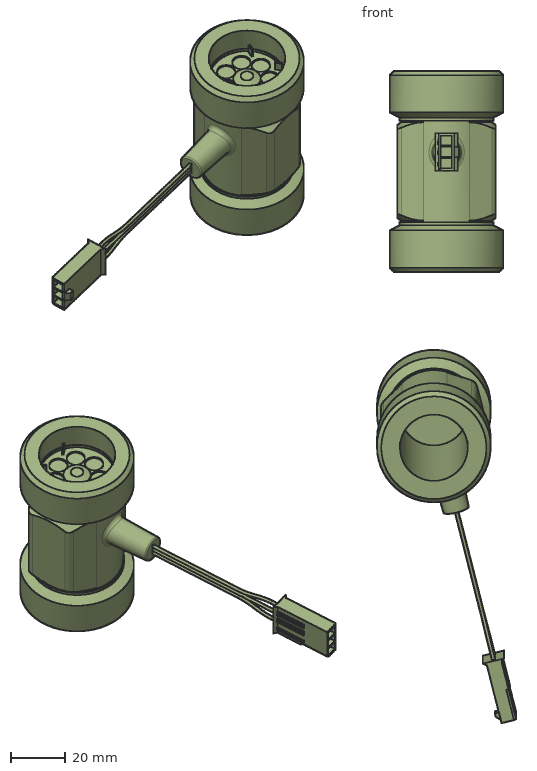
import cadquery as cq
import math

HOUSING_HEIGHT = 74.0
COLLAR_DIAMETER = 41.9
COLLAR_LENGTH = 15.3
COLLAR_CHAMFER = 1.6
NECK_CONE_LENGTH = 1.9
NECK_RADIUS = 17.3
BARREL_RADIUS = 17.0
BARREL_LENGTH = 37.1
FLAT_DISTANCE = 18.2
FLANK_ANGLE = 30.0
FLAT_CORNER_RADIUS = 3.1
FLAT_TAPER_START_RADIUS = 16.3
FLAT_TAPER_SLOPE = 0.8
BORE_DIAMETER = 28.0
SEAT_DIAMETER = 27.8
SHOULDER_DEPTH = 9.6
LOWER_BORE_DIAMETER = 25.0

CABLE_Z = 7.2
BOOT_END_Y = -34.3
BOOT_BASE_Y = -14.9
BOOT_END_DIAMETER = 9.6
BOOT_BASE_DIAMETER = 11.0
BOOT_FILLET = 1.8
BOOT_END_FILLET = 0.5

WIRE_DIAMETER = 1.3
WIRE_PITCH = 1.8
WIRE_EMBED = 1.4
BEND_START_Y = -72.8
BEND_END_Y = -87.7

CONNECTOR_END_Y = COLLAR_DIAMETER / 2 - 135.5
CONNECTOR_LENGTH = 23.5
CONNECTOR_WIDTH = 5.5
CONNECTOR_HEIGHT = 13.8
FLANGE_WIDTH = 8.1
FLANGE_THICKNESS = 1.1
CAVITY_PITCH = 4.2
CAVITY_WIDTH = 4.0
CAVITY_HEIGHT = 3.7
CAVITY_DEPTH = 10.8
KEY_CHAMFER = 0.8
KEY_CHAMFER_LENGTH = 11.8
RIB_LENGTH = 11.9
RIB_HEIGHT = 0.4
RIB_STEP_HEIGHT = 0.2
LATCH_HEIGHT = 3.8
LATCH_REACH = 1.8
LATCH_LENGTH = 3.1
LATCH_FLAT = 1.4

INSERT_DEPTH = 10.8
INSERT_THICKNESS = 2.7
HOLE_COUNT = 7
HOLE_DIAMETER = 6.8
HOLE_DEPTH = 0.7
HOLE_CIRCLE_RADIUS = 8.4
HUB_BASE_RADIUS = 5.0
HUB_TOP_RADIUS = 2.3
HUB_HEIGHT = 1.4
TAB_X = 6.4
TAB_Y = 10.7
TAB_LENGTH = 2.6
TAB_THICKNESS = 0.7
TAB_HEIGHT = 3.5
TAB_ANGLE = 26.0

HALF_HEIGHT = HOUSING_HEIGHT / 2
HALF_BARREL = BARREL_LENGTH / 2
INSERT_TOP_Z = HALF_HEIGHT - INSERT_DEPTH
INSERT_BOTTOM_Z = INSERT_TOP_Z - INSERT_THICKNESS
CONNECTOR_BACK_Y = CONNECTOR_END_Y + CONNECTOR_LENGTH
WIRE_OFFSETS = (-1, 0, 1)


def make_cylinder(radius, bottom, height):
    return cq.Workplane("XY").workplane(offset=bottom).circle(radius).extrude(height)


def make_collars_and_neck():
    """Turned profile of both collars, with the neck between them."""
    radius = COLLAR_DIAMETER / 2
    cone_start = HALF_HEIGHT - COLLAR_LENGTH
    cone_end = cone_start - NECK_CONE_LENGTH
    upper = [
        (BARREL_RADIUS, HALF_BARREL),
        (NECK_RADIUS, HALF_BARREL),
        (NECK_RADIUS, cone_end),
        (radius, cone_start),
        (radius, HALF_HEIGHT - COLLAR_CHAMFER),
        (radius - COLLAR_CHAMFER, HALF_HEIGHT),
        (0, HALF_HEIGHT),
    ]
    lower = [(r, -z) for r, z in reversed(upper)]
    return cq.Workplane("XZ").polyline(lower + upper).close().revolve(360, (0, 0, 0), (0, 1, 0))


def make_side_flats():
    """Prism with two side flats whose flanks run tangent to the barrel, ends turned to a taper."""
    flank = math.radians(FLANK_ANGLE)
    tangent_x = BARREL_RADIUS * math.sin(flank)
    tangent_y = BARREL_RADIUS * math.cos(flank)
    corner_y = (BARREL_RADIUS - FLAT_DISTANCE * math.sin(flank)) / math.cos(flank)
    quarter = [(tangent_x, tangent_y), (FLAT_DISTANCE, corner_y)]
    right = quarter + [(x, -y) for x, y in reversed(quarter)]
    left = [(-x, -y) for x, y in right]
    prism = (
        cq.Workplane("XY")
        .workplane(offset=-HALF_BARREL)
        .polyline(right + left)
        .close()
        .extrude(BARREL_LENGTH)
    )
    corners = cq.selectors.BoxSelector(
        (-FLAT_DISTANCE - 1.4, -corner_y - 1.4, -1.4), (FLAT_DISTANCE + 1.4, corner_y + 1.4, 1.4)
    )
    prism = prism.edges("|Z").edges(corners).fillet(FLAT_CORNER_RADIUS)
    apex_radius = FLAT_TAPER_START_RADIUS + HALF_BARREL / FLAT_TAPER_SLOPE
    turned = (
        cq.Workplane("XZ")
        .polyline([
            (0, -HALF_BARREL),
            (FLAT_TAPER_START_RADIUS, -HALF_BARREL),
            (apex_radius, 0),
            (FLAT_TAPER_START_RADIUS, HALF_BARREL),
            (0, HALF_BARREL),
        ])
        .close()
        .revolve(360, (0, 0, 0), (0, 1, 0))
    )
    return prism.intersect(turned)


def make_boot():
    """Tapered cable boot pointing along -Y."""
    return (
        cq.Workplane("XZ", origin=(0, BOOT_BASE_Y, CABLE_Z))
        .circle(BOOT_BASE_DIAMETER / 2)
        .workplane(offset=BOOT_BASE_Y - BOOT_END_Y)
        .circle(BOOT_END_DIAMETER / 2)
        .loft()
        .faces("<Y")
        .edges()
        .fillet(BOOT_END_FILLET)
    )


def make_wire(offset):
    """One wire from the boot to the connector, spreading from the wire pitch to the cavity pitch."""
    start_z = CABLE_Z + offset * WIRE_PITCH
    end_z = CABLE_Z + offset * CAVITY_PITCH
    start_y = BOOT_END_Y + WIRE_EMBED
    end_y = CONNECTOR_BACK_Y - WIRE_EMBED
    path = cq.Workplane("YZ").moveTo(start_y, start_z)
    if offset == 0:
        path = path.lineTo(end_y, end_z)
    else:
        path = (
            path.lineTo(BEND_START_Y, start_z)
            .spline([(BEND_END_Y, end_z)], tangents=[(-1, 0), (-1, 0)], includeCurrent=True)
            .lineTo(end_y, end_z)
        )
    profile = cq.Workplane("XZ", origin=(0, start_y, start_z)).circle(WIRE_DIAMETER / 2)
    return profile.sweep(path)


def make_connector():
    """Three-way plug with a wire-side flange, grip ribs, a latch and open cavities at the -Y end."""
    half_width = CONNECTOR_WIDTH / 2
    half_flange = FLANGE_WIDTH / 2
    flange_front_y = CONNECTOR_BACK_Y - FLANGE_THICKNESS
    bottom_z = CABLE_Z - CONNECTOR_HEIGHT / 2

    body = cq.Workplane("XY").box(
        CONNECTOR_WIDTH, CONNECTOR_LENGTH, CONNECTOR_HEIGHT
    ).translate((0, CONNECTOR_END_Y + CONNECTOR_LENGTH / 2, CABLE_Z))
    flange = (
        cq.Workplane("XY")
        .workplane(offset=bottom_z)
        .polyline([
            (-half_flange, CONNECTOR_BACK_Y),
            (half_flange, CONNECTOR_BACK_Y),
            (half_width, flange_front_y),
            (-half_width, flange_front_y),
        ])
        .close()
        .extrude(CONNECTOR_HEIGHT)
    )
    latch = (
        cq.Workplane("XY")
        .workplane(offset=CABLE_Z - LATCH_HEIGHT / 2)
        .polyline([
            (half_width, CONNECTOR_END_Y),
            (half_width + LATCH_REACH, CONNECTOR_END_Y + LATCH_LENGTH - LATCH_FLAT),
            (half_width + LATCH_REACH, CONNECTOR_END_Y + LATCH_LENGTH),
            (half_width, CONNECTOR_END_Y + LATCH_LENGTH),
        ])
        .close()
        .extrude(LATCH_HEIGHT)
    )
    connector = body.union(flange).union(latch)

    strips = (
        (3.7, 4.6, RIB_STEP_HEIGHT),
        (2.8, 3.7, RIB_HEIGHT),
        (0.0, 1.0, RIB_STEP_HEIGHT),
        (-0.8, 0.0, RIB_HEIGHT),
        (-5.0, -3.9, RIB_HEIGHT),
    )
    for low, high, height in strips:
        strip = cq.Workplane("XY").box(height, RIB_LENGTH, high - low, centered=False)
        connector = connector.union(
            strip.translate((-half_width - height, flange_front_y - RIB_LENGTH, CABLE_Z + low))
        )

    key = (
        cq.Workplane("XZ", origin=(-half_width, CONNECTOR_END_Y + KEY_CHAMFER_LENGTH, bottom_z))
        .polyline([(0, 0), (KEY_CHAMFER, 0), (0, KEY_CHAMFER)])
        .close()
        .extrude(KEY_CHAMFER_LENGTH)
    )
    connector = connector.cut(key)

    for offset in WIRE_OFFSETS:
        cavity = cq.Workplane("XY").box(CAVITY_WIDTH, CAVITY_DEPTH, CAVITY_HEIGHT)
        connector = connector.cut(
            cavity.translate((0, CONNECTOR_END_Y + CAVITY_DEPTH / 2, CABLE_Z + offset * CAVITY_PITCH))
        )
    return connector


def make_housing():
    housing = make_collars_and_neck().union(make_side_flats()).union(make_boot())
    boot_root = cq.selectors.BoxSelector(
        (-BOOT_BASE_DIAMETER, BOOT_BASE_Y - 2.7, CABLE_Z - BOOT_BASE_DIAMETER),
        (BOOT_BASE_DIAMETER, BOOT_BASE_Y + 1.4, CABLE_Z + BOOT_BASE_DIAMETER),
    )
    housing = housing.edges(boot_root).edges("not(%LINE or %CIRCLE)").fillet(BOOT_FILLET)
    seat_top = HALF_HEIGHT - SHOULDER_DEPTH
    housing = housing.cut(make_cylinder(BORE_DIAMETER / 2, seat_top, SHOULDER_DEPTH))
    housing = housing.cut(
        make_cylinder(SEAT_DIAMETER / 2, INSERT_BOTTOM_Z, seat_top - INSERT_BOTTOM_Z)
    )
    housing = housing.cut(
        make_cylinder(LOWER_BORE_DIAMETER / 2, -HALF_HEIGHT, INSERT_BOTTOM_Z + HALF_HEIGHT)
    )
    for offset in WIRE_OFFSETS:
        housing = housing.union(make_wire(offset))
    return housing.union(make_connector())


def make_insert():
    disc = make_cylinder(SEAT_DIAMETER / 2, INSERT_BOTTOM_Z, INSERT_THICKNESS)
    holes = (
        cq.Workplane("XY")
        .workplane(offset=INSERT_TOP_Z - HOLE_DEPTH)
        .polarArray(HOLE_CIRCLE_RADIUS, 90, 360, HOLE_COUNT)
        .circle(HOLE_DIAMETER / 2)
        .extrude(HOLE_DEPTH)
    )
    hub = (
        cq.Workplane("XY")
        .workplane(offset=INSERT_TOP_Z)
        .circle(HUB_BASE_RADIUS)
        .workplane(offset=HUB_HEIGHT)
        .circle(HUB_TOP_RADIUS)
        .loft()
    )
    insert = disc.cut(holes).union(hub)
    for side in (-1, 1):
        tab = cq.Workplane("XY").box(TAB_LENGTH, TAB_THICKNESS, TAB_HEIGHT, centered=(True, True, False))
        tab = tab.rotate((0, 0, 0), (0, 0, 1), side * TAB_ANGLE)
        insert = insert.union(tab.translate((side * TAB_X, TAB_Y, INSERT_TOP_Z)))
    return insert


housing = make_housing()
insert = make_insert()
result = cq.Compound.makeCompound([housing.solids().val(), insert.solids().val()])